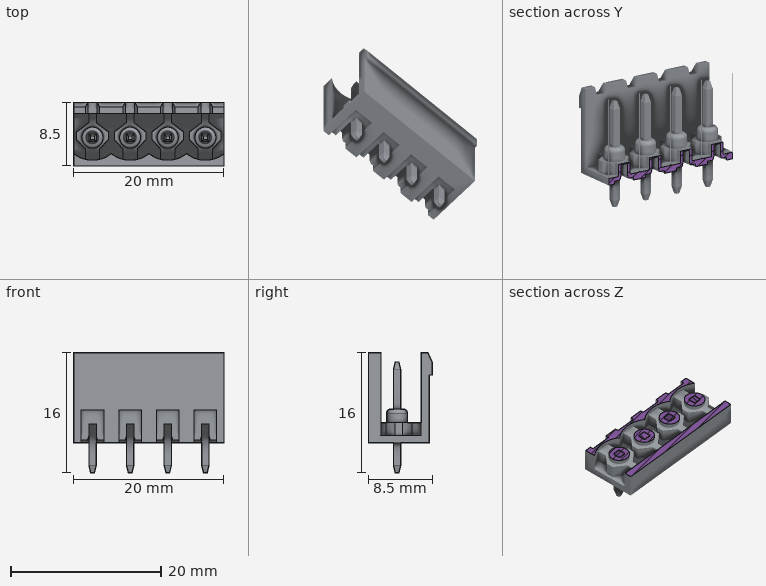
import cadquery as cq


pole_count = 4
pitch = 5.0
housing_length = pole_count * pitch
pole_positions = [(i - (pole_count - 1) / 2) * pitch for i in range(pole_count)]

housing_height = 12.0
floor_thickness = 1.0
front_y = -3.8
rear_y = 4.3
rear_wall_inner_y = 3.2

lip_overhang = 0.4
lip_bottom_z = 9.0
lip_chamfer_z = 10.7
lip_chamfer_depth = 0.6
lip_y = rear_y + lip_overhang

notch_bottom_z = lip_chamfer_z
notch_bottom_width = 1.2
notch_top_width = 1.9

scallop_radius = 4.0
front_wall_min_thickness = 0.8
scallop_center_y = front_y + front_wall_min_thickness + scallop_radius

ledge_top_z = 2.7
ledge_rear_half_width = 0.5
ledge_middle_half_width = 2.1
ledge_front_half_width = 0.95
ledge_rear_neck_y = 2.0
ledge_middle_rear_y = 0.75
ledge_middle_front_y = -0.25
ledge_front_neck_y = -1.5
boss_diameter = 2.8
boss_top_z = 4.5
boss_fillet = 0.6

pin_width = 1.0
pin_tip_width = 0.5
pin_taper_length = 1.0
pin_bottom_z = -4.0
pin_top_z = 10.75

recess_width = 3.0
recess_height = 4.4
recess_depth = 0.45
pocket_height = 0.4
slot_top_z = 2.5
slot_flare_height = 0.5
slot_flare_offset = 0.15
slot_end_y = -pin_width / 2
pocket_end_y = recess_width / 2


def block(x_center, width, y_range, z_range):
    """Box centred on x_center in X, between the given Y and Z limits."""
    y_min, y_max = y_range
    z_min, z_max = z_range
    return (
        cq.Workplane("XY")
        .box(width, y_max - y_min, z_max - z_min, centered=(True, False, False))
        .translate((x_center, y_min, z_min))
    )


def make_shell():
    """Solid profile of the housing, with the lip, before the channel is cut."""
    profile = [
        (front_y, 0),
        (rear_y, 0),
        (rear_y, lip_bottom_z),
        (lip_y, lip_bottom_z),
        (lip_y, lip_chamfer_z),
        (lip_y - lip_chamfer_depth, housing_height),
        (front_y, housing_height),
    ]
    return cq.Workplane("YZ").polyline(profile).close().extrude(housing_length / 2, both=True)


def make_pole_channel(x):
    """Plug chamber of one pole: one pitch wide, with an arc as its front side."""
    half_pitch = pitch / 2
    cusp_y = scallop_center_y - (scallop_radius**2 - half_pitch**2) ** 0.5
    return (
        cq.Workplane("XY", origin=(x, 0, floor_thickness))
        .moveTo(-half_pitch, rear_wall_inner_y)
        .lineTo(-half_pitch, cusp_y)
        .threePointArc((0, scallop_center_y - scallop_radius), (half_pitch, cusp_y))
        .lineTo(half_pitch, rear_wall_inner_y)
        .close()
        .extrude(housing_height - floor_thickness)
    )


def make_ledge(x):
    """Ledge between the two walls; both ends run into the walls."""
    ledge_end_y = front_y + recess_depth
    right_side = [
        (ledge_rear_half_width, rear_wall_inner_y),
        (ledge_rear_half_width, ledge_rear_neck_y),
        (ledge_middle_half_width, ledge_middle_rear_y),
        (ledge_middle_half_width, ledge_middle_front_y),
        (ledge_front_half_width, ledge_front_neck_y),
        (ledge_front_half_width, ledge_end_y),
    ]
    left_side = [(-half_width, y) for half_width, y in reversed(right_side)]
    return (
        cq.Workplane("XY", origin=(x, 0, floor_thickness))
        .polyline(right_side + left_side)
        .close()
        .extrude(ledge_top_z - floor_thickness)
    )


def make_boss(x):
    """Round boss with a rounded top edge, standing on the ledge."""
    return (
        cq.Workplane("XY", origin=(x, 0, ledge_top_z))
        .circle(boss_diameter / 2)
        .extrude(boss_top_z - ledge_top_z)
        .faces(">Z")
        .edges()
        .fillet(boss_fillet)
    )


def make_notch(x):
    """Keying notch through the rear wall, narrower at its bottom."""
    profile = [
        (-notch_bottom_width / 2, notch_bottom_z),
        (notch_bottom_width / 2, notch_bottom_z),
        (notch_top_width / 2, housing_height),
        (-notch_top_width / 2, housing_height),
    ]
    return (
        cq.Workplane("XZ", origin=(x, lip_y, 0))
        .polyline(profile)
        .close()
        .extrude(lip_y - rear_wall_inner_y)
    )


def make_pin_slot(x):
    """Slot from the front up to the pin, flared towards the underside pocket."""
    half_width = pin_width / 2
    flared_half_width = half_width + slot_flare_offset
    flare_top_z = pocket_height + slot_flare_height
    profile = [
        (-flared_half_width, pocket_height),
        (flared_half_width, pocket_height),
        (half_width, flare_top_z),
        (half_width, slot_top_z),
        (-half_width, slot_top_z),
        (-half_width, flare_top_z),
    ]
    return (
        cq.Workplane("XZ", origin=(x, slot_end_y, 0))
        .polyline(profile)
        .close()
        .extrude(slot_end_y - front_y)
    )


def make_pin_hole(x):
    """Square hole that the straight part of the pin fills."""
    half_width = pin_width / 2
    return block(x, pin_width, (-half_width, half_width), (0, boss_top_z))


def make_housing():
    housing = make_shell()
    for x in pole_positions:
        housing = housing.cut(make_pole_channel(x))
    for x in pole_positions:
        recess = block(x, recess_width, (front_y, front_y + recess_depth), (0, recess_height))
        pocket = block(x, recess_width, (front_y, pocket_end_y), (0, pocket_height))
        housing = housing.union(make_ledge(x)).union(make_boss(x))
        housing = housing.cut(recess).cut(pocket).cut(make_pin_slot(x))
        housing = housing.cut(make_notch(x)).cut(make_pin_hole(x))
    return housing


def make_pin_taper(x, base_z, tip_z):
    """Tapered pin end from the full width at base_z to the tip at tip_z."""
    return (
        cq.Workplane("XY", origin=(x, 0, base_z))
        .rect(pin_width, pin_width)
        .workplane(offset=tip_z - base_z)
        .rect(pin_tip_width, pin_tip_width)
        .loft(ruled=True)
    )


def make_pin(x):
    half_width = pin_width / 2
    shank_bottom_z = pin_bottom_z + pin_taper_length
    shank_top_z = pin_top_z - pin_taper_length
    shank = block(x, pin_width, (-half_width, half_width), (shank_bottom_z, shank_top_z))
    bottom_taper = make_pin_taper(x, shank_bottom_z, pin_bottom_z)
    top_taper = make_pin_taper(x, shank_top_z, pin_top_z)
    return shank.union(bottom_taper).union(top_taper)


housing = make_housing()
pins = [make_pin(x) for x in pole_positions]

result = cq.Compound.makeCompound([housing.val(), *[pin.val() for pin in pins]])